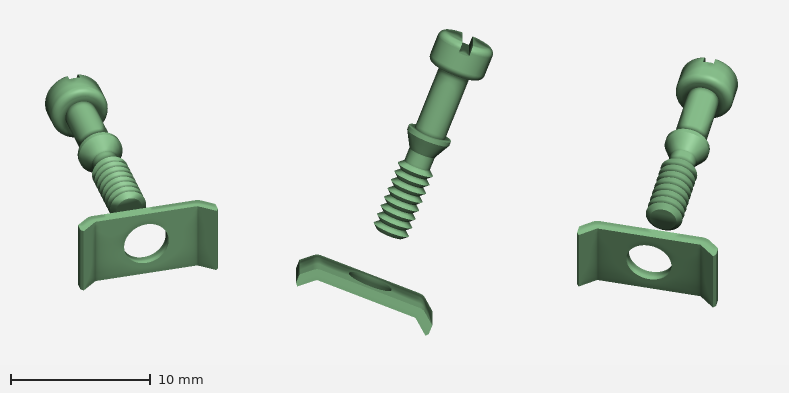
import cadquery as cq
import math

head_length = 2.5
head_radius = 2.1
head_fillet = 0.5
slot_width = 0.8
slot_depth = 0.77
shank_radius = 1.16
collar_start = 7.38
collar_radius = 1.62
collar_width = 0.33
cone_length = 1.19
neck_radius = 0.98
thread_start = 9.9
thread_length = 5.39
thread_count = 8
thread_pitch = thread_length / thread_count
crest_radius = 1.35

overall_length = 20.8
clip_depth = 1.75
clip_span = 10.21
clip_height = 5.08
clip_thickness = 0.8
clip_hole_diameter = 3.3
bend_half_span = 3.79
bend_angle = math.radians(40)


def make_screw():
    """Turned screw with a slotted, rounded head, a collar and ring-shaped thread ridges."""
    collar_end = collar_start + collar_width
    profile = (
        cq.Workplane("XY")
        .lineTo(0, head_radius)
        .lineTo(head_length, head_radius)
        .lineTo(head_length, shank_radius)
        .lineTo(collar_start, shank_radius)
        .lineTo(collar_start, collar_radius)
        .lineTo(collar_end, collar_radius)
        .lineTo(collar_end + cone_length, neck_radius)
        .lineTo(thread_start, neck_radius)
    )
    for ridge in range(thread_count):
        ridge_start = thread_start + ridge * thread_pitch
        profile = profile.lineTo(ridge_start + thread_pitch / 2, crest_radius)
        profile = profile.lineTo(ridge_start + thread_pitch, neck_radius)
    thread_end = thread_start + thread_length
    body = profile.lineTo(thread_end, 0).close().revolve(360, (0, 0, 0), (1, 0, 0))

    rims = cq.selectors.RadiusNthSelector(-1)
    body = body.edges(rims).fillet(head_fillet)

    slot = cq.Workplane("XY").box(
        slot_depth, slot_width, 2 * head_radius, centered=(False, True, True)
    )
    return body.cut(slot)


def make_clip():
    """Flat plate with a centre hole and two bent ends trimmed flat at the outer span."""
    back = overall_length - clip_depth
    inner = back + clip_thickness
    half_span = clip_span / 2
    slope = math.tan(bend_angle)

    def on_bend(angle):
        return (
            inner - clip_thickness * math.cos(angle),
            bend_half_span + clip_thickness * math.sin(angle),
        )

    bend_middle = on_bend(bend_angle / 2)
    bend_end = on_bend(bend_angle)

    tip = (overall_length, bend_half_span + (overall_length - inner) / slope)
    trim_start = (bend_end[0] + (half_span - bend_end[1]) * slope, half_span)
    trim_end = (tip[0] - (half_span - tip[1]) / slope, half_span)

    half = (
        cq.Workplane("XY", origin=(0, 0, -clip_height / 2))
        .moveTo(back, 0)
        .lineTo(back, bend_half_span)
        .threePointArc(bend_middle, bend_end)
        .lineTo(*trim_start)
        .lineTo(*trim_end)
        .lineTo(*tip)
        .lineTo(inner, bend_half_span)
        .lineTo(inner, 0)
        .close()
        .extrude(clip_height)
    )
    plate = half.union(half.mirror("XZ")).clean()

    hole = (
        cq.Workplane("YZ", origin=(back, 0, 0))
        .circle(clip_hole_diameter / 2)
        .extrude(clip_thickness)
    )
    return plate.cut(hole)


screw = make_screw()
clip = make_clip()

result = cq.Compound.makeCompound([screw.solids().val(), clip.solids().val()])